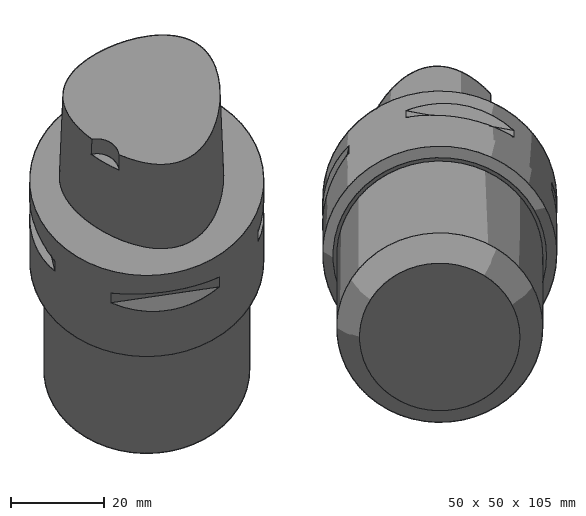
import cadquery as cq
import math

total_height = 105
shank_height = 30.0
flange_top = total_height - shank_height
flange_joint = 55.0
flange_bottom = 45.0
flange_bevel_height = 1
nose_chamfer_height = 5.0

flange_radius = 50.0 / 2
flange_bevel_radius = 22.8
body_radius = 44.0 / 2
nose_radius = 17.1

shank_base_radius = 17.5
shank_taper = 1 / 40
shank_top_radius = shank_base_radius - shank_taper * shank_height
lobe_size = 1.2
lobe_faces = 6

notch_radius = 4.7
notch_depth = 5.5
notch_inner_y = -13.9

slot_count = 4
slot_floor_distance = 22
slot_floor_height = 3.6
slot_flank_angle = 30
slot_drop = 10.0
slot_length = 2 * flange_radius
slot_reach = flange_radius + 1


def make_body():
    """Turned flange and cylinder; the flange wall is two faces meeting at the joint."""
    profile = [
        (0, 0),
        (nose_radius, 0),
        (body_radius, nose_chamfer_height),
        (body_radius, flange_bottom - flange_bevel_height),
        (flange_bevel_radius, flange_bottom - flange_bevel_height),
        (flange_radius, flange_bottom),
        (flange_radius, flange_joint),
        (flange_radius, flange_top),
        (0, flange_top),
    ]
    return cq.Workplane("XZ").polyline(profile).close().revolve(360, (0, 0), (0, 1), clean=False)


def lobed_wire(mean_radius, z):
    """Three-lobed hypotrochoid with one lobe toward +Y, split into equal parameter steps."""
    step = 2 * math.pi / lobe_faces
    points_per_face = 9

    def point(angle):
        x = mean_radius * math.sin(angle) - lobe_size * math.sin(2 * angle)
        y = mean_radius * math.cos(angle) + lobe_size * math.cos(2 * angle)
        return cq.Vector(x, y, z)

    def tangent(angle):
        x = mean_radius * math.cos(angle) - 2 * lobe_size * math.cos(2 * angle)
        y = -mean_radius * math.sin(angle) - 2 * lobe_size * math.sin(2 * angle)
        return cq.Vector(x, y, 0)

    edges = []
    for face in range(lobe_faces):
        start = (face + 0.5) * step
        angles = [start + step * i / (points_per_face - 1) for i in range(points_per_face)]
        end_tangents = [tangent(angles[0]), tangent(angles[-1])]
        edges.append(cq.Edge.makeSpline([point(a) for a in angles], tangents=end_tangents))
    return cq.Wire.assembleEdges(edges)


def make_shank():
    base = lobed_wire(shank_base_radius, flange_top)
    top = lobed_wire(shank_top_radius, total_height)
    return cq.Workplane(cq.Solid.makeLoft([base, top], True))


def make_notch():
    """Upright round cutter whose innermost point lies just inside the shank wall."""
    return (
        cq.Workplane("XY", origin=(0, notch_inner_y - notch_radius, total_height - notch_depth))
        .circle(notch_radius)
        .extrude(notch_depth)
    )


def make_slot(angle):
    """Straight slot with a flat floor and flanks that open outward."""
    z = flange_top - slot_drop
    floor_half = slot_floor_height / 2
    flare = (slot_reach - slot_floor_distance) * math.tan(math.radians(slot_flank_angle))
    mouth_half = floor_half + flare
    section = [
        (slot_floor_distance, z - floor_half),
        (slot_reach, z - mouth_half),
        (slot_reach, z + mouth_half),
        (slot_floor_distance, z + floor_half),
    ]
    slot = cq.Workplane("XZ").polyline(section).close().extrude(slot_length / 2, both=True)
    return slot.rotate((0, 0, 0), (0, 0, 1), angle)


result = make_body().union(make_shank(), clean=False).cut(make_notch(), clean=False)
for index in range(slot_count):
    slot_angle = (index + 0.5) * 360 / slot_count
    result = result.cut(make_slot(slot_angle), clean=False)